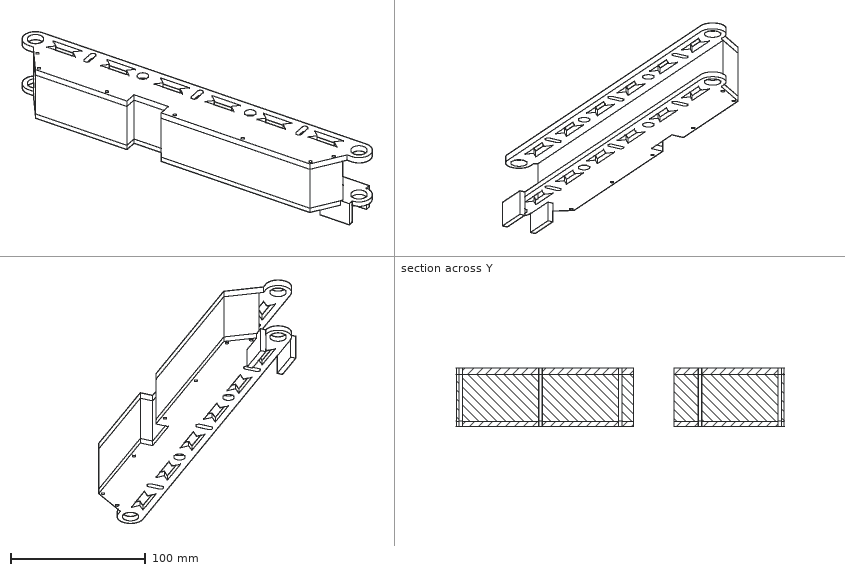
import cadquery as cq

LENGTH = 303.5
LUG_RADIUS = 10.0
LUG_X = LENGTH / 2 - LUG_RADIUS
LUG_BORE = 12.0

FRONT_Y = -35.0
SLANT_TOP_X = 137.5
SLANT_BOTTOM_X = 120.2
NOTCH_LEFT_X = -40.0
NOTCH_RIGHT_X = -10.0
NOTCH_DEPTH = 10.0

LOWER_THICKNESS = 4.0
CORE_HEIGHT = 35.0
UPPER_THICKNESS = 5.0
CORE_BACK_Y = -12.7

BOWTIE_CENTERS = (-116.5, -69.5, -22.5, 22.5, 67.7, 112.5)
BOWTIE_LENGTH = 25.2
BOWTIE_HEIGHT = 9.5
BOWTIE_TIP_DEPTH = 5.2
SLOT_CENTERS = (-94.0, 0.0, 91.7)
SLOT_LENGTH = 13.0
SLOT_WIDTH = 4.5
ROUND_HOLE_CENTERS = (-47.7, 46.5)
ROUND_HOLE_DIAMETER = 8.5

SCREW_DIAMETER = 2.4
SCREW_ROW_Y = -32.0
SCREW_PITCH = 59.5
SCREW_STEPS = (-2, -1, 0, 1, 2)
FRONT_SCREWS = [(step * SCREW_PITCH, SCREW_ROW_Y) for step in SCREW_STEPS]
SLANT_SCREWS = [(-130.5, -15.5), (130.0, -16.7)]

TAB_RIGHT_X = 142.0
TAB_WIDTH = 25.8
TAB_DROP = 15.2
BACK_TAB_THICKNESS = 4.2
FRONT_TAB_THICKNESS = 4.2


def slant_x(y):
    """Distance from mid-length to the slanted ends at a given Y."""
    run = (y + LUG_RADIUS) / (FRONT_Y + LUG_RADIUS)
    return SLANT_TOP_X + run * (SLANT_BOTTOM_X - SLANT_TOP_X)


def front_edge(sketch):
    """Continue an outline along the front edge, round the notch, to the right slant's foot."""
    notch_y = FRONT_Y + NOTCH_DEPTH
    return (
        sketch.lineTo(-SLANT_BOTTOM_X, FRONT_Y)
        .lineTo(NOTCH_LEFT_X, FRONT_Y)
        .lineTo(NOTCH_LEFT_X, notch_y)
        .lineTo(NOTCH_RIGHT_X, notch_y)
        .lineTo(NOTCH_RIGHT_X, FRONT_Y)
        .lineTo(SLANT_BOTTOM_X, FRONT_Y)
    )


def drill_screw_holes(body):
    holes = (
        cq.Workplane("XY")
        .pushPoints(FRONT_SCREWS + SLANT_SCREWS)
        .circle(SCREW_DIAMETER / 2)
        .extrude(LOWER_THICKNESS + CORE_HEIGHT + UPPER_THICKNESS)
    )
    return body.cut(holes)


def bowtie(center_x, bottom_z, thickness):
    """Rectangular opening with a V-shaped point reaching in from each end."""
    half_length = BOWTIE_LENGTH / 2
    half_height = BOWTIE_HEIGHT / 2
    tip_x = half_length - BOWTIE_TIP_DEPTH
    outline = [
        (-half_length, -half_height),
        (half_length, -half_height),
        (tip_x, 0),
        (half_length, half_height),
        (-half_length, half_height),
        (-tip_x, 0),
    ]
    opening = cq.Workplane("XY", origin=(center_x, 0, bottom_z))
    return opening.polyline(outline).close().extrude(thickness)


def plate(bottom_z, thickness):
    """Side plate with a bored lug at each end and a row of openings between them."""
    base = cq.Workplane("XY", origin=(0, 0, bottom_z))
    outline = (
        base.moveTo(LUG_X, LUG_RADIUS)
        .lineTo(-LUG_X, LUG_RADIUS)
        .threePointArc((-LENGTH / 2, 0), (-LUG_X, -LUG_RADIUS))
        .lineTo(-SLANT_TOP_X, -LUG_RADIUS)
    )
    outline = (
        front_edge(outline)
        .lineTo(SLANT_TOP_X, -LUG_RADIUS)
        .lineTo(LUG_X, -LUG_RADIUS)
        .threePointArc((LENGTH / 2, 0), (LUG_X, LUG_RADIUS))
        .close()
    )
    body = outline.extrude(thickness)

    bores = base.pushPoints([(-LUG_X, 0), (LUG_X, 0)]).circle(LUG_BORE / 2).extrude(thickness)
    slot_points = [(x, 0) for x in SLOT_CENTERS]
    slots = base.pushPoints(slot_points).slot2D(SLOT_LENGTH, SLOT_WIDTH, 90).extrude(thickness)
    hole_points = [(x, 0) for x in ROUND_HOLE_CENTERS]
    round_holes = base.pushPoints(hole_points).circle(ROUND_HOLE_DIAMETER / 2).extrude(thickness)
    body = body.cut(bores).cut(slots).cut(round_holes)
    for center_x in BOWTIE_CENTERS:
        body = body.cut(bowtie(center_x, bottom_z, thickness))
    return drill_screw_holes(body)


def tab(back_y, thickness):
    """Tab from the top of the lower plate to below it, reaching forward from back_y."""
    corner = (TAB_RIGHT_X - TAB_WIDTH, back_y - thickness, -TAB_DROP)
    height = TAB_DROP + LOWER_THICKNESS
    return cq.Workplane("XY", origin=corner).box(TAB_WIDTH, thickness, height, centered=False)


def build_lower_plate():
    back_tab = tab(LUG_RADIUS + BACK_TAB_THICKNESS, BACK_TAB_THICKNESS)
    front_tab = tab(-LUG_RADIUS, FRONT_TAB_THICKNESS)
    return plate(0, LOWER_THICKNESS).union(back_tab).union(front_tab)


def build_upper_plate():
    return plate(LOWER_THICKNESS + CORE_HEIGHT, UPPER_THICKNESS)


def build_core():
    """Spacer block between the plates, flush with their front and slanted edges."""
    back_x = slant_x(CORE_BACK_Y)
    outline = cq.Workplane("XY", origin=(0, 0, LOWER_THICKNESS)).moveTo(-back_x, CORE_BACK_Y)
    body = front_edge(outline).lineTo(back_x, CORE_BACK_Y).close().extrude(CORE_HEIGHT)
    return drill_screw_holes(body)


lower_plate = build_lower_plate()
core = build_core()
upper_plate = build_upper_plate()

result = cq.Compound.makeCompound([lower_plate.val(), core.val(), upper_plate.val()])